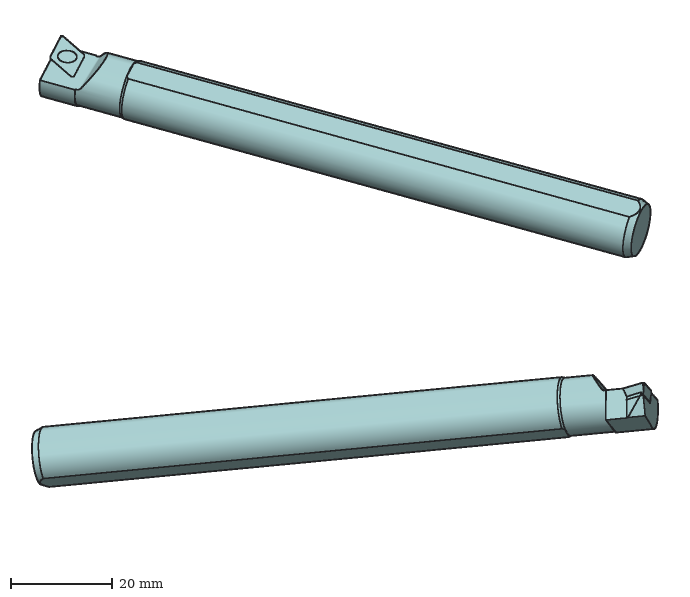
import cadquery as cq
import math

LENGTH = 126.2
SHANK_DIAMETER = 12.0
SHANK_ACROSS_FLATS = 11.0
SHANK_START = 18.0
END_CHAMFER_LENGTH = 1.5
END_CHAMFER_DEPTH = 0.6
SHOULDER_CHAMFER_LENGTH = 0.5

NECK_DIAMETER = 11.6
NECK_START = 8.6

HEAD_DIAMETER = SHANK_DIAMETER
HEAD_BOTTOM = -5.9
HEAD_FACE_X = 0.82
HEAD_FACE_SLOPE = 0.05
NOSE_FOOT_Y = 6.2
NOSE_TOP_Y = 8.2
NOSE_TOP_Z = -2.0
NOSE_EDGE_SETBACK = 0.4

RAKE_ANGLE = 7.0
RAKE_HEIGHT = 1.1
FLOOR_END = 8.7
RAMP_ANGLE = 56.0
RAMP_FILLET = 1.1

INSERT_WIDTH = 6.3
INSERT_ANGLE = 55.0
INSERT_THICKNESS = 2.4
CLEARANCE_ANGLE = 7.0
TIP_Y = 9.1
LEAD_ANGLE = 3.0
TIP_RADIUS = 0.19
HEEL_RADIUS = 0.4
SIDE_CORNER_RADIUS = 1.0
POST_TOP_DIAMETER = 3.8
POST_BOTTOM_DIAMETER = 2.8

INSERT_SIDE = INSERT_WIDTH / math.sin(math.radians(INSERT_ANGLE))
SIDE_DROP = INSERT_WIDTH / math.tan(math.radians(INSERT_ANGLE))
SIDE_SLOPE = math.tan(math.radians(90 - INSERT_ANGLE - LEAD_ANGLE))

CORNER_X = -TIP_RADIUS
CORNER_Y = TIP_RADIUS / math.tan(math.radians(INSERT_ANGLE / 2))

rake_plane = cq.Plane(origin=(0, 0, RAKE_HEIGHT)).rotated((-RAKE_ANGLE, 0, 0))

insert_plane = cq.Plane(
    origin=rake_plane.toWorldCoords((TIP_RADIUS, TIP_Y - TIP_RADIUS)),
    xDir=rake_plane.xDir,
    normal=rake_plane.zDir,
).rotated((0, 0, LEAD_ANGLE))


def cylinder_along_x(diameter, start, end):
    return cq.Workplane("YZ", origin=(start, 0, 0)).circle(diameter / 2).extrude(end - start)


def make_shank():
    """Round bar with a flat on top and bottom, a coned shoulder and a chamfered rear end."""
    length = LENGTH - SHANK_START
    straight_start = SHANK_START + SHOULDER_CHAMFER_LENGTH
    shank = cylinder_along_x(SHANK_DIAMETER, straight_start, LENGTH)
    shank = shank.faces(">X").edges().chamfer(END_CHAMFER_LENGTH, END_CHAMFER_DEPTH)
    shoulder = (
        cq.Workplane("YZ", origin=(SHANK_START, 0, 0))
        .circle(NECK_DIAMETER / 2)
        .workplane(offset=SHOULDER_CHAMFER_LENGTH)
        .circle(SHANK_DIAMETER / 2)
        .loft()
    )
    flats = cq.Workplane("XY").box(
        length, SHANK_DIAMETER, SHANK_ACROSS_FLATS, centered=(False, True, True)
    )
    return shank.union(shoulder).intersect(flats.translate((SHANK_START, 0, 0)))


def make_head():
    """Widened head, with a slanted front face and a nose following the insert's side."""
    radius = HEAD_DIAMETER / 2
    round_part = cylinder_along_x(HEAD_DIAMETER, 0, NECK_START)
    nose = (
        cq.Workplane("YZ")
        .polyline([
            (0, HEAD_BOTTOM),
            (NOSE_FOOT_Y, HEAD_BOTTOM),
            (NOSE_TOP_Y, NOSE_TOP_Z),
            (NOSE_TOP_Y, RAKE_HEIGHT),
            (0, RAKE_HEIGHT),
        ])
        .close()
        .extrude(NECK_START)
    )

    def face_x(y):
        return HEAD_FACE_X - HEAD_FACE_SLOPE * y

    nose_y = TIP_Y - NOSE_EDGE_SETBACK
    side_end_x = (nose_y - radius) / SIDE_SLOPE
    plan = (
        cq.Workplane("XY", origin=(0, 0, HEAD_BOTTOM))
        .polyline([
            (face_x(-radius), -radius),
            (NECK_START, -radius),
            (NECK_START, radius),
            (side_end_x, radius),
            (0, nose_y),
            (face_x(nose_y), nose_y),
        ])
        .close()
        .extrude(SHANK_DIAMETER)
    )
    return round_part.union(nose).intersect(plan)


def make_chip_space():
    """Cutter that clears the space above the rake plane, ending in a filleted ramp."""
    ramp_height = SHANK_DIAMETER
    ramp_foot = FLOOR_END + RAMP_FILLET * math.tan(math.radians(RAMP_ANGLE / 2))
    ramp_top = ramp_foot + ramp_height / math.tan(math.radians(RAMP_ANGLE))
    side_plane = cq.Plane(origin=rake_plane.origin, xDir=rake_plane.xDir, normal=-rake_plane.yDir)
    cutter = (
        cq.Workplane(side_plane)
        .polyline([(-1.3, 0), (ramp_foot, 0), (ramp_top, ramp_height), (-1.3, ramp_height)])
        .close()
        .extrude(LENGTH / 4, both=True)
    )
    ramp_foot_edge = cq.selectors.NearestToPointSelector((ramp_foot, 0, RAKE_HEIGHT))
    return cutter.edges(ramp_foot_edge).fillet(RAMP_FILLET)


def make_insert_blank():
    """Rhombic plate with rounded corners, tapering downwards from the rake plane."""
    tip = (CORNER_X, CORNER_Y)
    front_corner = (CORNER_X, CORNER_Y - INSERT_SIDE)
    back_corner = (CORNER_X + INSERT_WIDTH, CORNER_Y - SIDE_DROP)
    heel = (CORNER_X + INSERT_WIDTH, CORNER_Y - SIDE_DROP - INSERT_SIDE)
    corner_radii = [
        (tip, TIP_RADIUS),
        (heel, HEEL_RADIUS),
        (front_corner, SIDE_CORNER_RADIUS),
        (back_corner, SIDE_CORNER_RADIUS),
    ]
    outline = cq.Sketch().polygon([tip, back_corner, heel, front_corner, tip])
    for (x, y), radius in corner_radii:
        corner = cq.selectors.NearestToPointSelector((x, y, 0))
        outline = outline.vertices(corner).fillet(radius).reset()
    return cq.Workplane(insert_plane).placeSketch(outline).extrude(-INSERT_THICKNESS, taper=CLEARANCE_ANGLE)


def make_post():
    """Conical post of the bar that fills the centre hole of the insert."""
    centre_y = CORNER_Y - (SIDE_DROP + INSERT_SIDE) / 2
    return (
        cq.Workplane(insert_plane)
        .center(CORNER_X + INSERT_WIDTH / 2, centre_y)
        .circle(POST_TOP_DIAMETER / 2)
        .workplane(offset=-INSERT_THICKNESS)
        .circle(POST_BOTTOM_DIAMETER / 2)
        .loft()
    )


insert_blank = make_insert_blank()
post = make_post()
neck = cylinder_along_x(NECK_DIAMETER, NECK_START, SHANK_START)

insert = insert_blank.cut(post)
bar = make_head().union(neck).union(make_shank()).cut(make_chip_space()).cut(insert_blank).union(post)

result = cq.Compound.makeCompound([bar.val(), insert.val()])